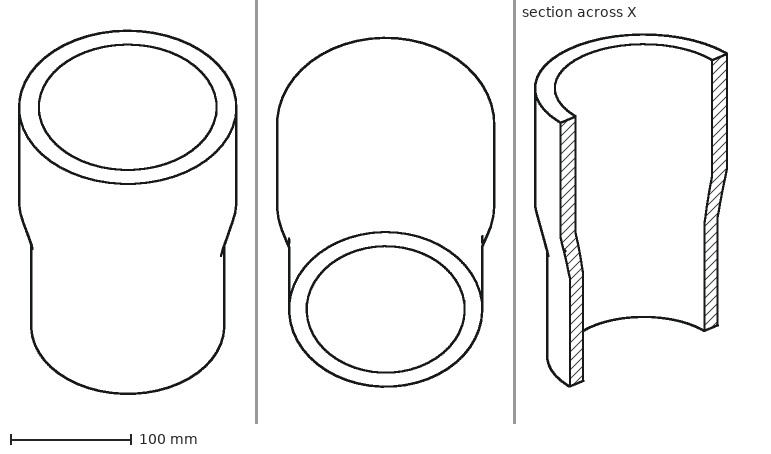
import cadquery as cq

large_outer_diameter = 180.0
large_wall = 16.4
small_outer_diameter = 160.0
small_wall = 14.6

total_length = 255.0
large_length = 110.0
small_length = 103.0

large_outer_radius = large_outer_diameter / 2
small_outer_radius = small_outer_diameter / 2
large_bore_radius = large_outer_radius - large_wall
small_bore_radius = small_outer_radius - small_wall

taper_bottom = small_length
taper_top = total_length - large_length


def stepped_solid(lower_radius, upper_radius):
    """Two coaxial cylinders joined by a conical taper, axis along Z."""
    profile = (
        cq.Workplane("XZ")
        .moveTo(0, 0)
        .lineTo(lower_radius, 0)
        .lineTo(lower_radius, taper_bottom)
        .lineTo(upper_radius, taper_top)
        .lineTo(upper_radius, total_length)
        .lineTo(0, total_length)
        .close()
    )
    return profile.revolve(360, (0, 0, 0), (0, 1, 0))


body = stepped_solid(small_outer_radius, large_outer_radius)
bore = stepped_solid(small_bore_radius, large_bore_radius)
result = body.cut(bore)